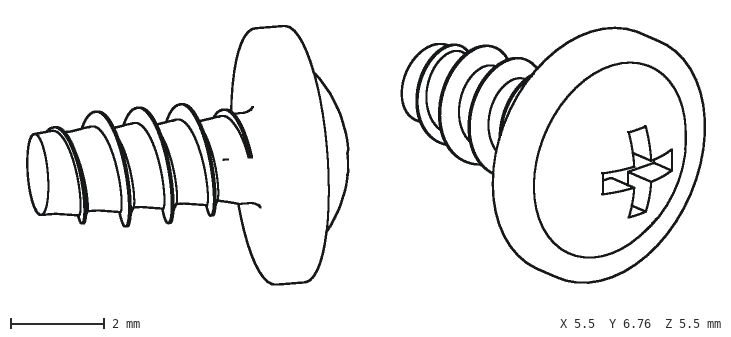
import cadquery as cq
import math

shank_length = 5.0
head_height = 1.76

washer_radius = 2.75
washer_thickness = 0.7
washer_edge_fillet = 0.04
dome_rim_radius = 2.18

recess_width = 0.49
recess_reach = 0.99
recess_depth = 0.745

collar_radius = 0.97
collar_end = 0.635
collar_taper_length = 0.43
neck_fillet = 0.4
core_radius = 0.865
dimple_radius = 0.785
dimple_depth = 0.07

pitch = 0.945
thread_height = 0.39
crest_half_width = 0.02
flank_break_height = 0.135
flank_break_offset = 0.1
foot_offset = 0.23
foot_depth = 0.07
heel_height = 0.075
heel_to_crest_limit = 0.4
heel_start_offset = 0.11
heel_end_offset = 0.675
heel_end_depth = 0.015
crest_distance = 1.45
first_turn = -0.95
full_height_turn = 0.25
last_full_turn = 2.25
last_turn = 3.75
fade_in_rate = 0.5
points_per_turn = 16


def make_body():
    """Head, collar and core without recess or thread; the core runs one pitch past the tip."""
    corner_radius = recess_width / math.sqrt(2)
    dome_height = head_height - washer_thickness
    center_below_rim = (dome_rim_radius**2 - corner_radius**2 - dome_height**2) / (2 * dome_height)
    dome_radius = math.hypot(dome_rim_radius, center_below_rim)
    center_y = washer_thickness - center_below_rim
    mid_angle = (math.pi / 2 + math.atan2(center_below_rim, dome_rim_radius)) / 2
    dome_middle = (dome_radius * math.cos(mid_angle), center_y + dome_radius * math.sin(mid_angle))

    washer = cq.Workplane("XZ").circle(washer_radius).extrude(-washer_thickness)
    washer = washer.edges().fillet(washer_edge_fillet)
    dome = (
        cq.Workplane("XY")
        .moveTo(0, 0)
        .lineTo(dome_rim_radius, 0)
        .lineTo(dome_rim_radius, washer_thickness)
        .threePointArc(dome_middle, (0, center_y + dome_radius))
        .close()
        .revolve(360, (0, 0, 0), (0, 1, 0))
    )
    fillet_sag = neck_fillet * (1 - math.sqrt(0.5))
    shank = (
        cq.Workplane("XY")
        .moveTo(0, washer_edge_fillet)
        .lineTo(collar_radius + neck_fillet, washer_edge_fillet)
        .lineTo(collar_radius + neck_fillet, 0)
        .threePointArc((collar_radius + fillet_sag, -fillet_sag), (collar_radius, -neck_fillet))
        .lineTo(collar_radius, -collar_end)
        .lineTo(core_radius, -collar_end - collar_taper_length)
        .lineTo(core_radius, -shank_length - pitch)
        .lineTo(0, -shank_length - pitch)
        .close()
        .revolve(360, (0, 0, 0), (0, 1, 0))
    )
    return washer.union(dome).union(shank)


def crest_share(turn):
    """Share of the full thread height: it grows near the head and fades out at the tip."""
    fade_in = 1 - fade_in_rate * (full_height_turn - turn)
    fade_out = (last_turn - turn) / (last_turn - last_full_turn)
    return min(1, fade_in, fade_out)


def ridge_profile(turn):
    """(distance past the crest, height above the core) of each corner of the thread section."""
    share = crest_share(turn)
    scaled_foot_offset = crest_half_width + (foot_offset - crest_half_width) * share
    break_offset = crest_half_width + (flank_break_offset - crest_half_width) * share
    heel_offset = crest_half_width + (heel_start_offset - crest_half_width) * share
    crest_height = thread_height * share
    return [
        (-scaled_foot_offset, -foot_depth),
        (-break_offset, flank_break_height * share),
        (-crest_half_width, crest_height),
        (crest_half_width, crest_height),
        (heel_offset, min(heel_height, heel_to_crest_limit * crest_height)),
        (heel_end_offset, -heel_end_depth),
    ]


def helix_point(turn, offset, height):
    """Right-handed about -Y: turns from +X towards +Z while advancing to the tip."""
    angle = 2 * math.pi * turn
    radius = core_radius + height
    return cq.Vector(
        radius * math.cos(angle),
        -(crest_distance + pitch * turn + offset),
        radius * math.sin(angle),
    )


def thread_section(turn):
    """Corners of the thread section in space."""
    return [helix_point(turn, *corner) for corner in ridge_profile(turn)]


def thread_flanks(start, end):
    """Ruled faces between the corner helices over one stretch of the thread."""
    steps = math.ceil((end - start) * points_per_turn)
    sections = [thread_section(start + (end - start) * i / steps) for i in range(steps + 1)]
    rails = [cq.Edge.makeSpline(list(path)) for path in zip(*sections)]
    next_rails = rails[1:] + rails[:1]
    return [cq.Face.makeRuledSurface(rail, next_rail) for rail, next_rail in zip(rails, next_rails)]


def make_thread():
    """Thread ridge with its sloping heel: fade-in, full height and fade-out."""
    full_middle = (full_height_turn + last_full_turn) / 2
    fade_out_middle = (last_full_turn + last_turn) / 2
    joints = [first_turn, full_height_turn, full_middle, last_full_turn, fade_out_middle, last_turn]
    faces = []
    for start, end in zip(joints, joints[1:]):
        faces += thread_flanks(start, end)
    for turn in (first_turn, last_turn):
        end_outline = cq.Wire.makePolygon(thread_section(turn), close=True)
        faces.append(cq.Face.makeFromWires(end_outline))
    ridge = cq.Solid.makeSolid(cq.Shell.makeShell(faces))
    return cq.Workplane(ridge.fix())


def make_tip_cutter():
    """Block past the tip that trims the core and the thread tail flush."""
    return cq.Workplane("XZ", origin=(0, -shank_length, 0)).circle(washer_radius).extrude(shank_length)


def make_recess():
    """Straight-walled cross, open at the top of the dome."""
    floor_plane = cq.Workplane("XZ", origin=(0, head_height - recess_depth, 0))
    wing = floor_plane.rect(2 * recess_reach, recess_width).extrude(-head_height)
    return wing.union(wing.rotate((0, 0, 0), (0, 1, 0), 90))


def make_dimple():
    """Shallow cone sunk into the flat tip."""
    return (
        cq.Workplane("XY")
        .moveTo(0, -shank_length)
        .lineTo(dimple_radius, -shank_length)
        .lineTo(0, -shank_length + dimple_depth)
        .close()
        .revolve(360, (0, 0, 0), (0, 1, 0))
    )


screw = make_body().cut(make_recess()).union(make_thread())
result = screw.cut(make_tip_cutter()).cut(make_dimple())